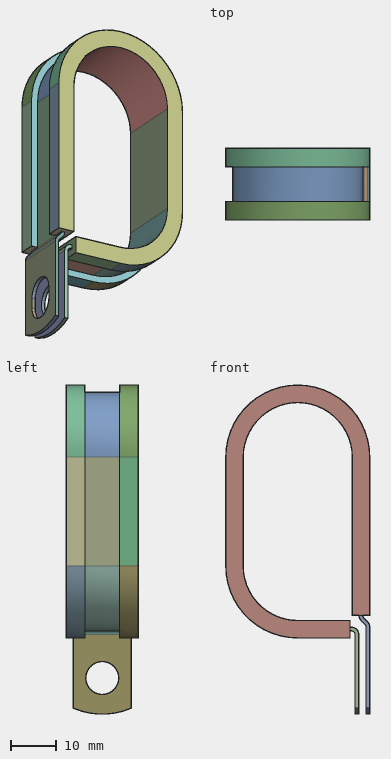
import cadquery as cq
import math


outer_width = 31.54
inner_width = 23.81
arc_spacing = 23.81
cushion_width = 15.75
groove_width = 7.55
groove_depth = 1.55
long_end_drop = 34.6
short_end_inset = 4.3

total_height = 72.02
strap_thickness = 0.85
strap_width = 12.7
tab_gap = 1.55
bend_inner_radius = 0.8
jog_angle = math.radians(45)
tab_end_radius = 15.875
embed = 2.0
hole_diameter = 7.14
slot_length = 9.525
hole_to_tip = 7.94

outer_radius = outer_width / 2
inner_radius = inner_width / 2
groove_radius = outer_radius - groove_depth
bend_radius = bend_inner_radius + strap_thickness / 2
strap_depth = groove_depth + strap_thickness / 2
tip_z = outer_radius - total_height
short_end_x = outer_radius - short_end_inset


def loop_band(radius, width):
    """P-shaped band from the inner bore out to the given radius, centred on Y = 0."""
    return (
        cq.Workplane("XZ")
        .moveTo(radius, -long_end_drop)
        .lineTo(radius, 0)
        .threePointArc((0, radius), (-radius, 0))
        .lineTo(-radius, -arc_spacing)
        .radiusArc((0, -arc_spacing - radius), -radius)
        .lineTo(short_end_x, -arc_spacing - radius)
        .lineTo(short_end_x, -arc_spacing - inner_radius)
        .lineTo(0, -arc_spacing - inner_radius)
        .radiusArc((-inner_radius, -arc_spacing), inner_radius)
        .lineTo(-inner_radius, 0)
        .threePointArc((0, inner_radius), (inner_radius, 0))
        .lineTo(inner_radius, -long_end_drop)
        .close()
        .extrude(width / 2, both=True)
    )


def cushion():
    """Two full-height rims joined by the recessed middle band."""
    rims = loop_band(outer_radius, cushion_width).cut(loop_band(outer_radius, groove_width))
    return rims.union(loop_band(groove_radius, groove_width))


def long_leg_tab():
    """Strap that leaves the long leg, jogs outward and hangs flush with its outer face."""
    arc_x = bend_radius * (1 - math.cos(jog_angle))
    arc_z = bend_radius * math.sin(jog_angle)
    slant_x = groove_depth - 2 * arc_x
    slant_z = slant_x / math.tan(jog_angle)
    straight = -long_end_drop - 2 * arc_z - slant_z - tip_z
    path = (
        cq.Workplane("XZ")
        .moveTo(outer_radius - strap_depth, -long_end_drop + embed)
        .line(0, -embed)
        .tangentArcPoint((arc_x, -arc_z))
        .line(slant_x, -slant_z)
        .tangentArcPoint((arc_x, -arc_z))
        .line(0, -straight)
    )
    return (
        cq.Workplane("XY", origin=(outer_radius - strap_depth, 0, -long_end_drop + embed))
        .rect(strap_thickness, strap_width)
        .sweep(path)
    )


def short_leg_tab():
    """Strap that leaves the short leg and turns down beside the other tab."""
    tab_x = outer_radius - strap_thickness - tab_gap - strap_thickness / 2
    start_x = short_end_x - embed
    strap_z = -arc_spacing - outer_radius + strap_depth
    path = (
        cq.Workplane("XZ")
        .moveTo(start_x, strap_z)
        .lineTo(tab_x - bend_radius, strap_z)
        .tangentArcPoint((bend_radius, -bend_radius))
        .lineTo(tab_x, tip_z)
    )
    return (
        cq.Workplane("YZ", origin=(start_x, 0, strap_z))
        .rect(strap_width, strap_thickness)
        .sweep(path)
    )


def tab_blank():
    """Bar along X whose section is the width and rounded tip shared by both tabs."""
    half_width = strap_width / 2
    sag = tab_end_radius - math.sqrt(tab_end_radius**2 - half_width**2)
    return (
        cq.Workplane("YZ")
        .moveTo(-half_width, 0)
        .lineTo(-half_width, tip_z + sag)
        .threePointArc((0, tip_z), (half_width, tip_z + sag))
        .lineTo(half_width, 0)
        .close()
        .extrude(outer_width)
    )


def round_hole():
    """Bolt hole through the tab of the short leg."""
    return (
        cq.Workplane("YZ", origin=(0, 0, tip_z + hole_to_tip))
        .circle(hole_diameter / 2)
        .extrude(outer_width)
    )


def slotted_hole():
    """Bolt slot, elongated in height, through the tab of the long leg."""
    return (
        cq.Workplane("YZ", origin=(0, 0, tip_z + hole_to_tip))
        .slot2D(slot_length, hole_diameter, 90)
        .extrude(outer_width)
    )


long_tab = long_leg_tab().intersect(tab_blank()).cut(slotted_hole())
short_tab = short_leg_tab().intersect(tab_blank()).cut(round_hole())
result = cushion().union(long_tab).union(short_tab)